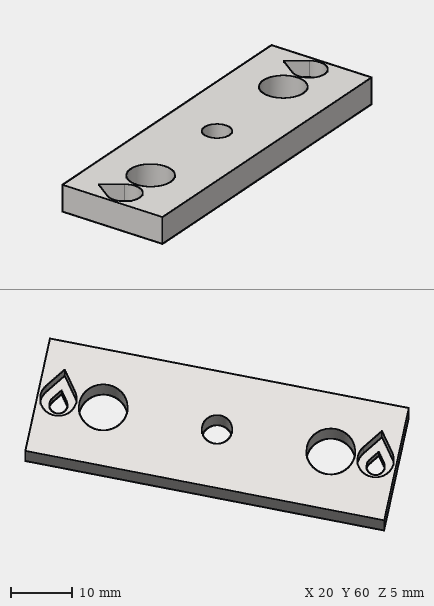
import cadquery as cq
import math

length = 60.0
width = 20.0
thickness = 5.0

centre_hole_diameter = 5.0
large_hole_diameter = 8.0
large_hole_offset = 19.0

teardrop_offset = 26.5
teardrop_hole_radius = 1.5
teardrop_pocket_radius = 2 * teardrop_hole_radius
teardrop_pocket_depth = 3.0
teardrop_half_angle = math.radians(35.5)


def teardrop(workplane, y, radius):
    """Draw a circle at (0, y) whose tangents meet in a point on its -X side."""
    tip = (-radius / math.sin(teardrop_half_angle), y)
    tangent_x = -radius * math.sin(teardrop_half_angle)
    tangent_y = radius * math.cos(teardrop_half_angle)
    return (
        workplane.moveTo(*tip)
        .lineTo(tangent_x, y + tangent_y)
        .threePointArc((radius, y), (tangent_x, y - tangent_y))
        .close()
    )


def top_face(body):
    return body.faces(">Z").workplane(origin=(0, 0, 0))


plate = cq.Workplane("XY").box(width, length, thickness)

plate = top_face(plate).circle(centre_hole_diameter / 2).cutThruAll()

for side in (-1, 1):
    large_hole = top_face(plate).center(0, side * large_hole_offset)
    plate = large_hole.circle(large_hole_diameter / 2).cutThruAll()

    y = side * teardrop_offset
    plate = teardrop(top_face(plate), y, teardrop_hole_radius).cutThruAll()
    plate = teardrop(top_face(plate), y, teardrop_pocket_radius).cutBlind(-teardrop_pocket_depth)

result = plate